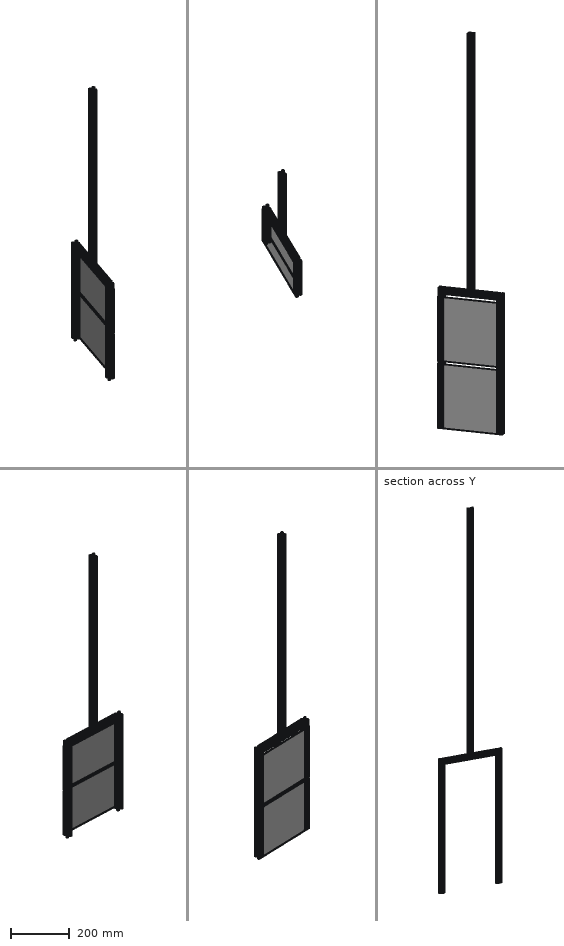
import cadquery as cq

profile_size = 20.0
corner_radius = 1.0
bore_diameter = 5.0
mouth_width = 9.5
throat_width = 6.0
throat_depth = 1.5
lip_thickness = 2.0
cavity_width = 11.0
cavity_wall_height = 1.5
slot_depth = 6.0
slot_floor_width = 4.5
slots_per_profile = 4

frame_width = 230.0
frame_height = 500.0
total_height = 1420.0

panel_height = 230.0
panel_gap = 10.0
panel_thickness = 1.0
panel_count = 2

post_length = total_height - frame_height
beam_length = frame_width - 2 * profile_size
leg_offset = beam_length / 2 + profile_size / 2


def slot_cutter(length):
    """Prism that cuts the T-slot in the +Y side of an upright bar."""
    face = profile_size / 2
    throat = face - throat_depth
    lip = face - lip_thickness
    wall_end = lip - cavity_wall_height
    floor = face - slot_depth
    right_half = [
        (mouth_width / 2, face),
        (throat_width / 2, throat),
        (throat_width / 2, lip),
        (cavity_width / 2, lip),
        (cavity_width / 2, wall_end),
        (slot_floor_width / 2, floor),
    ]
    left_half = [(-x, y) for x, y in reversed(right_half)]
    return cq.Workplane("XY").polyline(right_half + left_half).close().extrude(length)


def extrusion(length):
    """Slotted bar centred on the Z axis, standing on Z = 0."""
    bar = cq.Workplane("XY").rect(profile_size, profile_size).extrude(length)
    bar = bar.edges("|Z").fillet(corner_radius)
    slot = slot_cutter(length)
    for side in range(slots_per_profile):
        angle = side * 360 / slots_per_profile
        bar = bar.cut(slot.rotate((0, 0, 0), (0, 0, 1), angle))
    bore = cq.Workplane("XY").circle(bore_diameter / 2).extrude(length)
    return bar.cut(bore)


def post():
    """Upright bar on the middle of the cross beam."""
    return extrusion(post_length).translate((0, 0, frame_height))


def cross_beam():
    """Horizontal bar between the legs, flush with their tops."""
    bar = extrusion(beam_length).rotate((0, 0, 0), (0, 1, 0), 90)
    return bar.translate((-beam_length / 2, 0, frame_height - profile_size / 2))


def panel(index):
    """Flat sheet across the full frame width, counted from the bottom."""
    sheet = cq.Workplane("XY").box(
        frame_width, panel_thickness, panel_height, centered=(True, False, False)
    )
    return sheet.translate((0, profile_size / 2, index * (panel_height + panel_gap)))


leg = extrusion(frame_height)
result = cross_beam().union(post())
for leg_x in (-leg_offset, leg_offset):
    result = result.union(leg.translate((leg_x, 0, 0)))
for panel_index in range(panel_count):
    result = result.union(panel(panel_index))